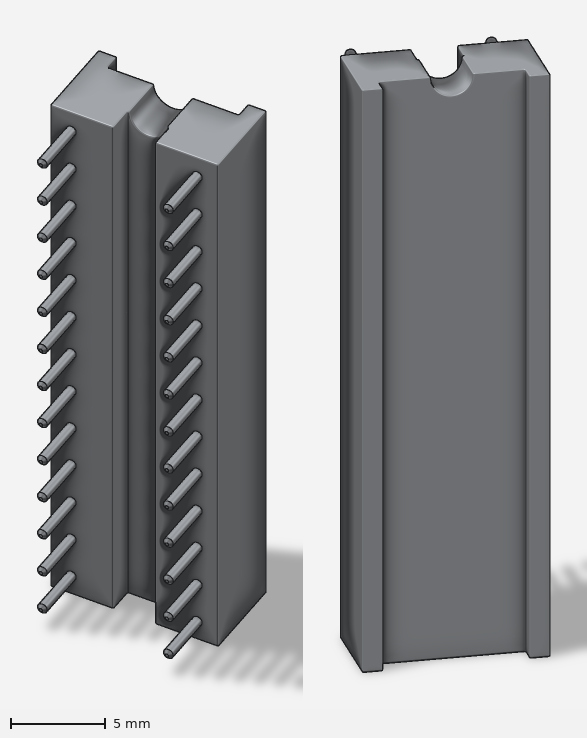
import cadquery as cq
length = 33.02
width = 10.17
total_depth = 8.45
body_depth = 5.2
edge_radius = 0.1

rim_width = 1.12
recess_depth = 1.0

channel_width = 2.5
channel_depth = 1.52

notch_radius = 1.15

pins_per_row = 13
pin_pitch = length / pins_per_row
row_spacing = 3 * pin_pitch
pin_diameter = 0.6
pin_tip_diameter = 0.2
pin_tip_length = 0.15

pin_tip_y = -total_depth / 2
back_y = total_depth / 2
front_y = back_y - body_depth
recess_floor_y = back_y - recess_depth
channel_floor_y = front_y + channel_depth


def make_bar():
    """Bar of constant cross-section along Z, with all its edges rounded."""
    half_width = width / 2
    half_recess = half_width - rim_width
    half_channel = channel_width / 2
    right_half = [
        (0, channel_floor_y),
        (half_channel, channel_floor_y),
        (half_channel, front_y),
        (half_width, front_y),
        (half_width, back_y),
        (half_recess, back_y),
        (half_recess, recess_floor_y),
        (0, recess_floor_y),
    ]
    return (
        cq.Workplane("XY")
        .workplane(offset=-length / 2)
        .polyline(right_half)
        .mirrorY()
        .extrude(length)
        .edges()
        .fillet(edge_radius)
    )


def cut_notch(bar):
    """Cut the notch through the web at the +Z end and round its rim."""
    cutter = (
        cq.Workplane("XZ", origin=(0, back_y, length / 2))
        .circle(notch_radius)
        .extrude(body_depth)
    )
    notched = bar.cut(cutter)
    notch_bottom = (0, (channel_floor_y + recess_floor_y) / 2, length / 2 - notch_radius)
    notch_wall = notched.faces(cq.selectors.NearestToPointSelector(notch_bottom))
    return notch_wall.edges().fillet(edge_radius)


def make_pin():
    """One round pin along Y at x = z = 0, ending in a blunt cone."""
    pin_radius = pin_diameter / 2
    tip_radius = pin_tip_diameter / 2
    tip_start_y = pin_tip_y + pin_tip_length
    half_section = [
        (0, front_y),
        (pin_radius, front_y),
        (pin_radius, tip_start_y),
        (tip_radius, pin_tip_y),
        (0, pin_tip_y),
    ]
    return cq.Workplane("XY").polyline(half_section).close().revolve(360, (0, 0), (0, 1))


result = cut_notch(make_bar())
pin = make_pin()
first_pin_z = -(pins_per_row - 1) / 2 * pin_pitch
for row_x in (-row_spacing / 2, row_spacing / 2):
    for index in range(pins_per_row):
        result = result.union(pin.translate((row_x, 0, first_pin_z + index * pin_pitch)))